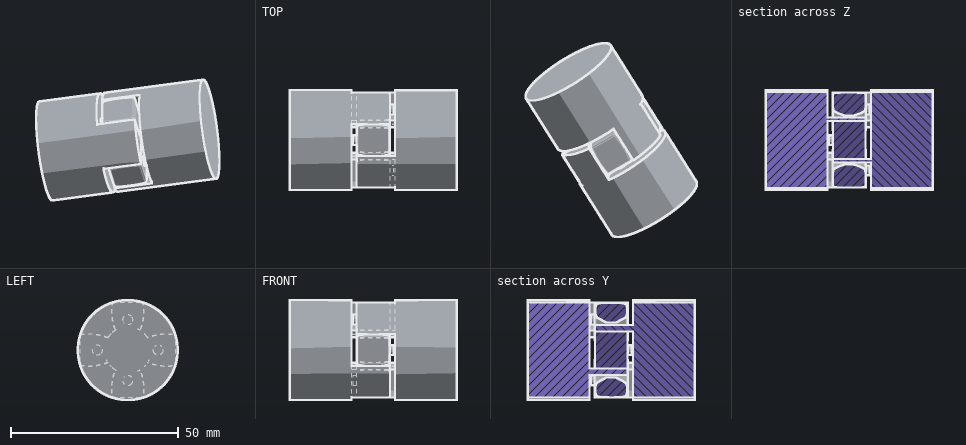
import cadquery as cq
import math


coupling_length = 50.0
outer_radius = 15.0
spider_thickness = 10.0
hub_clearance = 1.5
core_radius = 7.0

flank_radius = 16.0
flank_peak_position = 11.75
flank_peak_half_width = 4.9

pad_top = 14.25
pad_clearance = 0.1
pad_edge_fillet = 0.5
crown_radius = 30.0
button_radius = 1.5
button_height = 1.1
button_position = 9.1

cut_margin = 0.5
overlap = 1.0

half_spider = spider_thickness / 2
hub_face = half_spider + hub_clearance
hub_length = coupling_length / 2 - hub_face
jaw_length = hub_face + half_spider
profile_start = core_radius / 2
slot_end = outer_radius + cut_margin

X_AXIS = ((0, 0, 0), (1, 0, 0))


def turned(body, angle):
    """The body turned about the coupling axis."""
    return body.rotate(*X_AXIS, angle)


def flank_point(distance, clearance=0.0):
    """Point on the +Y flank at a distance from the X axis, set inward by the clearance."""
    offset = distance - flank_peak_position
    arc_drop = flank_radius - math.sqrt(flank_radius**2 - offset**2)
    return (flank_peak_half_width - arc_drop - clearance, distance)


def mirrored_point(point):
    return (-point[0], point[1])


def jaw_zone():
    """Workplane at the left hub face, where the jaws begin."""
    return cq.Workplane("YZ", origin=(-hub_face, 0, 0))


def slot_cutter():
    """Slot along +Z, as long as a jaw, with both flanks curved."""
    bottom = flank_point(profile_start)
    peak = flank_point(flank_peak_position)
    top = flank_point(slot_end)
    return (
        jaw_zone()
        .moveTo(*bottom)
        .threePointArc(peak, top)
        .lineTo(*mirrored_point(top))
        .threePointArc(mirrored_point(peak), mirrored_point(bottom))
        .close()
        .extrude(jaw_length)
    )


def make_left_hub():
    """Round bar, cut back beyond the hub face to two opposite jaws around the spider core."""
    bar = (
        cq.Workplane("YZ", origin=(-coupling_length / 2, 0, 0))
        .circle(outer_radius)
        .extrude(hub_length + jaw_length)
    )
    hub = bar.cut(jaw_zone().circle(core_radius).extrude(jaw_length))

    slot = slot_cutter()
    for angle in (0, 90, 180, 270):
        hub = hub.cut(turned(slot, angle))

    quadrant = jaw_zone().rect(slot_end, slot_end, centered=False).extrude(jaw_length)
    for angle in (90, 270):
        hub = hub.cut(turned(quadrant, angle))
    return hub


def make_pad():
    """Pad along +Z: each half is the flank profile swept along the crown arc."""
    bottom = flank_point(profile_start, pad_clearance)
    peak = flank_point(flank_peak_position, pad_clearance)
    top = flank_point(pad_top, pad_clearance)
    crown_axis_y = peak[0] - crown_radius
    sweep = 2 * math.degrees(math.asin(spider_thickness / crown_radius))
    half = (
        cq.Workplane("YZ")
        .moveTo(-overlap, profile_start)
        .lineTo(*bottom)
        .threePointArc(peak, top)
        .lineTo(-overlap, pad_top)
        .close()
        .revolve(sweep, (crown_axis_y, 0, 0), (crown_axis_y, 1, 0))
        .rotate((0, crown_axis_y, 0), (0, crown_axis_y, 1), -sweep / 2)
    )
    slab = cq.Workplane("XY").box(spider_thickness, 2 * outer_radius, 2 * outer_radius)
    pad = half.union(half.mirror("XZ")).intersect(slab)
    return pad.faces("<X or >X or >Z").edges("not <Z").fillet(pad_edge_fillet)


def make_button(side):
    """Spacer button on the +Z pad, on the face towards the given side of X."""
    return (
        cq.Workplane("YZ", origin=(side * half_spider, 0, 0))
        .center(0, button_position)
        .circle(button_radius)
        .extrude(side * button_height)
    )


def make_spider():
    """Core with four pads; the Z pads carry buttons towards -X, the Y pads towards +X."""
    spider = cq.Workplane("YZ", origin=(-half_spider, 0, 0)).circle(core_radius).extrude(spider_thickness)
    pad = make_pad()
    for quarter in range(4):
        side = 1 if quarter % 2 else -1
        spider = spider.union(turned(pad, 90 * quarter)).union(turned(make_button(side), 90 * quarter))
    return spider


left_hub = make_left_hub()
right_hub = left_hub.rotate((0, 0, 0), (0, 0, 1), 180)
spider = make_spider()

result = cq.Compound.makeCompound([left_hub.val(), right_hub.val(), spider.val()])